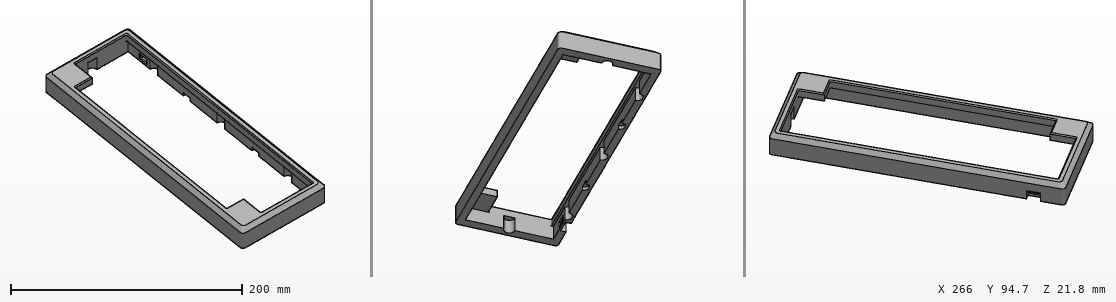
import cadquery as cq
LENGTH = 266.0
WIDTH = 94.7
HEIGHT = 21.8
CORNER_RADIUS = 3.2
TOP_CHAMFER = 4.0

OPENING_LENGTH = 249.0
OPENING_WIDTH = 77.2
OPENING_CORNER_DIAMETER = 2.0
OPENING_CHAMFER = 1.0
SHELF_LENGTH = 23.1
SHELF_WIDTH = 19.2

PLATE_THICKNESS = 8.0
POCKET_LENGTH = OPENING_LENGTH
POCKET_WIDTH = 81.0
POCKET_HEIGHT = HEIGHT - PLATE_THICKNESS

RECESS_RADIUS = 5.0
RECESS_PITCH = 90.0
NOTCH_RADIUS = 4.5
NOTCH_HEIGHT = 3.7
NOTCH_OFFSET = 46.0

WINDOW_LENGTH = 10.5
WINDOW_HEIGHT = 5.3
WINDOW_X = -104.8
WINDOW_BOTTOM = 2.7
WINDOW_WEB = 1.9
RELIEF_MARGIN = 1.0

END_FACE = POCKET_LENGTH / 2
BACK_FACE = POCKET_WIDTH / 2


def block(length, width, height):
    """Box centred in X and Y that stands on Z = 0."""
    return cq.Workplane("XY").box(length, width, height, centered=(True, True, False))


def upright_cylinder(x, y, radius, height):
    return cq.Workplane("XY").center(x, y).circle(radius).extrude(height)


def body_outline(inset):
    """Outer outline moved inward by inset, with the same corner radius at every inset."""
    outline = cq.Sketch().rect(LENGTH - 2 * inset, WIDTH - 2 * inset)
    return outline.vertices().fillet(CORNER_RADIUS)


def outer_body():
    """Solid body with rounded corners that carry on up the chamfered top rim."""
    rim_height = HEIGHT - TOP_CHAMFER
    lower = cq.Workplane("XY").placeSketch(body_outline(0)).extrude(rim_height)
    top_outline = body_outline(TOP_CHAMFER).moved(cq.Location(cq.Vector(0, 0, TOP_CHAMFER)))
    rim = cq.Workplane("XY").workplane(offset=rim_height).placeSketch(body_outline(0), top_outline)
    return lower.union(rim.loft(ruled=True))


def opening_outline(outset):
    """Opening outline moved outward by outset; only the two shelf tips stay sharp."""
    end_x = OPENING_LENGTH / 2 + outset
    side_y = OPENING_WIDTH / 2 + outset
    shelf_x = end_x - SHELF_LENGTH
    shelf_y = SHELF_WIDTH - side_y
    corners = [
        (-end_x, side_y),
        (end_x, side_y),
        (end_x, shelf_y),
        (shelf_x, shelf_y),
        (shelf_x, -side_y),
        (-shelf_x, -side_y),
        (-shelf_x, shelf_y),
        (-end_x, shelf_y),
    ]
    outline = cq.Sketch().polygon(corners + corners[:1])
    return outline.vertices("<X or >X or <Y").fillet(OPENING_CORNER_DIAMETER / 2)


def opening():
    """Cutter for the opening, flared at the top to chamfer its rim."""
    straight = cq.Workplane("XY").placeSketch(opening_outline(0)).extrude(HEIGHT)
    rim_height = HEIGHT - OPENING_CHAMFER
    top_outline = opening_outline(OPENING_CHAMFER).moved(cq.Location(cq.Vector(0, 0, OPENING_CHAMFER)))
    flare = cq.Workplane("XY").workplane(offset=rim_height).placeSketch(opening_outline(0), top_outline)
    return straight.union(flare.loft(ruled=True))


def clearances():
    """Half-round recesses up to the plate, and short notches between the back ones."""
    cutters = []
    for x in (-RECESS_PITCH, 0, RECESS_PITCH):
        cutters.append(upright_cylinder(x, BACK_FACE, RECESS_RADIUS, POCKET_HEIGHT))
    for side in (-1, 1):
        cutters.append(upright_cylinder(side * END_FACE, 0, RECESS_RADIUS, POCKET_HEIGHT))
        cutters.append(upright_cylinder(side * NOTCH_OFFSET, BACK_FACE, NOTCH_RADIUS, NOTCH_HEIGHT))
    return cutters


def connector_window():
    """Window through the back wall and its outer relief, which runs out at the bottom."""
    wall = (WIDTH - POCKET_WIDTH) / 2
    window = block(WINDOW_LENGTH, 2 * wall, WINDOW_HEIGHT)
    window = window.translate((WINDOW_X, BACK_FACE, WINDOW_BOTTOM))
    relief_height = WINDOW_BOTTOM + WINDOW_HEIGHT + RELIEF_MARGIN
    relief = block(WINDOW_LENGTH + 2 * RELIEF_MARGIN, wall, relief_height)
    relief = relief.translate((WINDOW_X, BACK_FACE + WINDOW_WEB + wall / 2, 0))
    return window.union(relief)


frame = outer_body().cut(opening())
frame = frame.cut(block(POCKET_LENGTH, POCKET_WIDTH, POCKET_HEIGHT))
for cutter in clearances():
    frame = frame.cut(cutter)
result = frame.cut(connector_window())